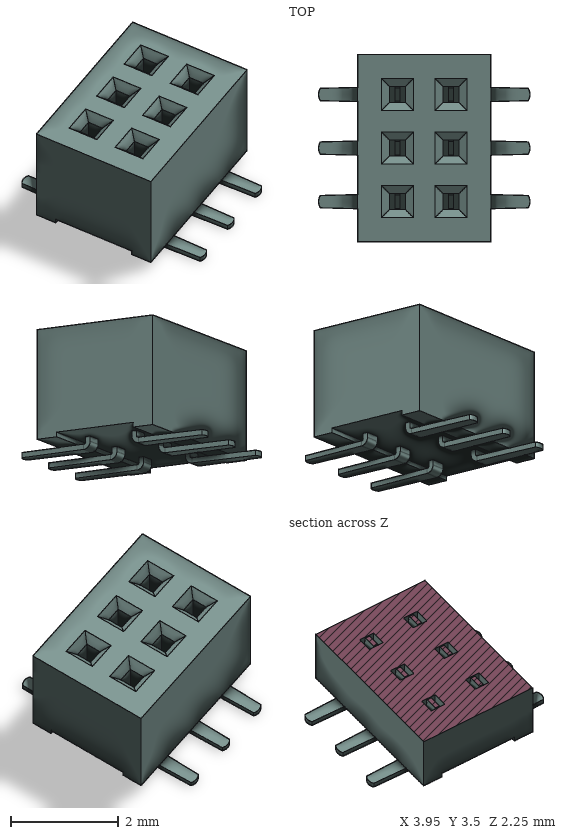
import cadquery as cq
import math

PITCH = 1.0
ROWS = 3
BODY_WIDTH = 2.49
BODY_LENGTH = 3.5
STANDOFF = 0.15
TOP_Z = 2.25

FOOT_WIDTH = 0.42
CHANNEL_DEPTH = 0.09

MOUTH_SIZE = 0.6
BORE_SIZE = 0.3
LEAD_IN_DEPTH = 0.15
BORE_FLOOR_Z = 1.0

LEAD_SPAN = 3.95
STRIP_THICKNESS = 0.1
STRIP_WIDTH = 0.3
TAIL_END_WIDTH = 0.235
TAIL_END_BULGE = 0.037
BLADE_TIP_WIDTH = 0.25
BLADE_TIP_LENGTH = 0.2
BLADE_TOP_Z = 1.4
INNER_BEND_RADIUS = 0.04

CHANNEL_Z = STANDOFF + CHANNEL_DEPTH
COLUMN_X = PITCH / 2
LEG_INNER_X = COLUMN_X - STRIP_THICKNESS / 2
LEG_OUTER_X = COLUMN_X + STRIP_THICKNESS / 2
OUTER_BEND_RADIUS = INNER_BEND_RADIUS + STRIP_THICKNESS
BEND_X = LEG_OUTER_X + INNER_BEND_RADIUS
ROW_POSITIONS = [(row - (ROWS - 1) / 2) * PITCH for row in range(ROWS)]


def make_body():
    """Rectangular housing with a channel along Y underneath."""
    block = (
        cq.Workplane("XY")
        .workplane(offset=STANDOFF)
        .rect(BODY_WIDTH, BODY_LENGTH)
        .extrude(TOP_Z - STANDOFF)
    )
    channel = (
        cq.Workplane("XY")
        .workplane(offset=STANDOFF)
        .rect(BODY_WIDTH - 2 * FOOT_WIDTH, BODY_LENGTH)
        .extrude(CHANNEL_DEPTH)
    )
    return block.cut(channel)


def make_socket(x, y):
    """Void of one socket: pyramid lead-in and square bore."""
    lead_in = (
        cq.Workplane("XY", origin=(x, y, TOP_Z))
        .rect(MOUTH_SIZE, MOUTH_SIZE)
        .workplane(offset=-LEAD_IN_DEPTH)
        .rect(BORE_SIZE, BORE_SIZE)
        .loft(ruled=True)
    )
    bore = (
        cq.Workplane("XY", origin=(x, y, BORE_FLOOR_Z))
        .rect(BORE_SIZE, BORE_SIZE)
        .extrude(TOP_Z - LEAD_IN_DEPTH - BORE_FLOOR_Z)
    )
    return lead_in.union(bore)


def make_strip():
    """L-shaped side profile of a +X contact, extruded to the full strip width."""
    diagonal = math.sqrt(0.5)
    tail_x = LEAD_SPAN / 2
    return (
        cq.Workplane("XZ")
        .moveTo(tail_x, 0)
        .lineTo(BEND_X, 0)
        .threePointArc(
            (BEND_X - OUTER_BEND_RADIUS * diagonal, OUTER_BEND_RADIUS * (1 - diagonal)),
            (LEG_INNER_X, OUTER_BEND_RADIUS),
        )
        .lineTo(LEG_INNER_X, BLADE_TOP_Z)
        .lineTo(LEG_OUTER_X, BLADE_TOP_Z)
        .lineTo(LEG_OUTER_X, OUTER_BEND_RADIUS)
        .threePointArc(
            (BEND_X - INNER_BEND_RADIUS * diagonal, OUTER_BEND_RADIUS - INNER_BEND_RADIUS * diagonal),
            (BEND_X, STRIP_THICKNESS),
        )
        .lineTo(tail_x, STRIP_THICKNESS)
        .close()
        .extrude(STRIP_WIDTH / 2, both=True)
    )


def make_tail_outline():
    """Plan outline of a +X contact: tapering tail with a bulged end."""
    tail_x = LEAD_SPAN / 2
    shoulder_x = tail_x - TAIL_END_BULGE
    return (
        cq.Workplane("XY")
        .moveTo(LEG_INNER_X, -STRIP_WIDTH / 2)
        .lineTo(BEND_X, -STRIP_WIDTH / 2)
        .lineTo(shoulder_x, -TAIL_END_WIDTH / 2)
        .threePointArc((tail_x, 0), (shoulder_x, TAIL_END_WIDTH / 2))
        .lineTo(BEND_X, STRIP_WIDTH / 2)
        .lineTo(LEG_INNER_X, STRIP_WIDTH / 2)
        .close()
        .extrude(BLADE_TOP_Z)
    )


def make_blade_outline():
    """End outline of a contact: upright blade narrowing at its tip."""
    taper_z = BLADE_TOP_Z - BLADE_TIP_LENGTH
    return (
        cq.Workplane("YZ")
        .moveTo(-STRIP_WIDTH / 2, 0)
        .lineTo(STRIP_WIDTH / 2, 0)
        .lineTo(STRIP_WIDTH / 2, taper_z)
        .lineTo(BLADE_TIP_WIDTH / 2, BLADE_TOP_Z)
        .lineTo(-BLADE_TIP_WIDTH / 2, BLADE_TOP_Z)
        .lineTo(-STRIP_WIDTH / 2, taper_z)
        .close()
        .extrude(LEAD_SPAN / 2)
    )


right_contact = make_strip().intersect(make_tail_outline()).intersect(make_blade_outline())
left_contact = right_contact.mirror("YZ")

result = make_body()
for row_y in ROW_POSITIONS:
    for column_x in (-COLUMN_X, COLUMN_X):
        result = result.cut(make_socket(column_x, row_y))
    for contact in (left_contact, right_contact):
        result = result.union(contact.translate((0, row_y, 0)))